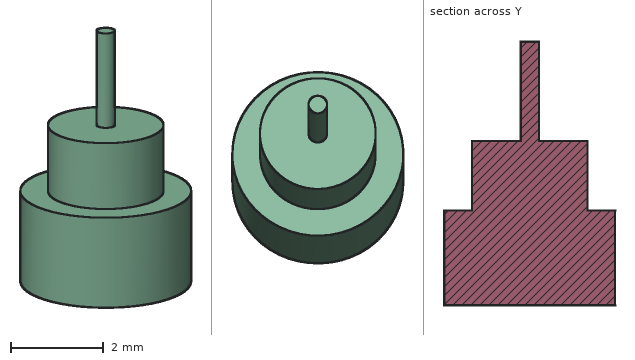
import cadquery as cq

total_height = 5.7
base_diameter = 3.7
base_height = 2.05
collar_diameter = 2.5
collar_height = 1.5
pin_diameter = 0.4
pin_length = total_height - base_height - collar_height


def add_cylinder(body, diameter, height):
    """Stack a coaxial cylinder on the top face of the body."""
    return body.faces(">Z").workplane().circle(diameter / 2).extrude(height)


base = cq.Workplane("XY").circle(base_diameter / 2).extrude(base_height)

base_with_collar = add_cylinder(base, collar_diameter, collar_height)
result = add_cylinder(base_with_collar, pin_diameter, pin_length)